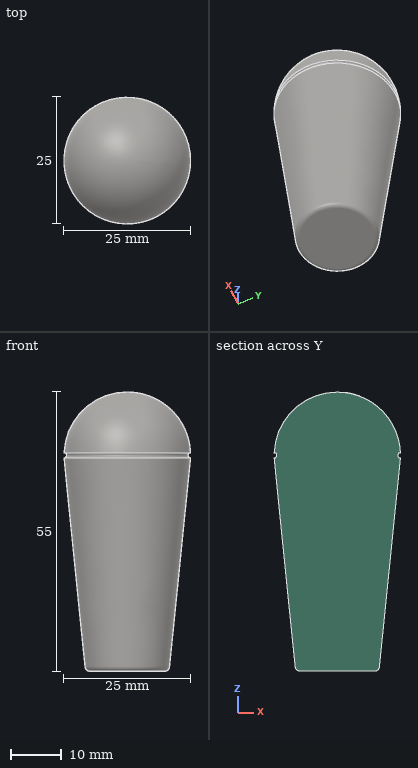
import cadquery as cq

total_height = 55.0
head_diameter = 24.95
foot_diameter = 16.5

dome_height = 12.0
groove_width = 1.0
foot_rounding = 1.0

head_radius = head_diameter / 2
foot_radius = foot_diameter / 2
dome_base = total_height - dome_height
groove_base = dome_base - groove_width

groove_depth = groove_width / 2
groove_bottom = (head_radius - groove_depth, groove_base + groove_width / 2)

sphere_radius = (head_radius**2 + dome_height**2) / (2 * dome_height)
sphere_center = total_height - sphere_radius
dome_middle = (sphere_radius * 0.5**0.5, sphere_center + sphere_radius * 0.5**0.5)


def handle_body():
    """Tapered grip, groove and dome, revolved about the vertical axis."""
    profile = (
        cq.Workplane("XZ")
        .lineTo(foot_radius, 0)
        .lineTo(head_radius, groove_base)
        .threePointArc(groove_bottom, (head_radius, dome_base))
        .threePointArc(dome_middle, (0, total_height))
        .close()
    )
    return profile.revolve(360, (0, 0, 0), (0, 1, 0))


result = handle_body().faces("<Z").edges().fillet(foot_rounding)